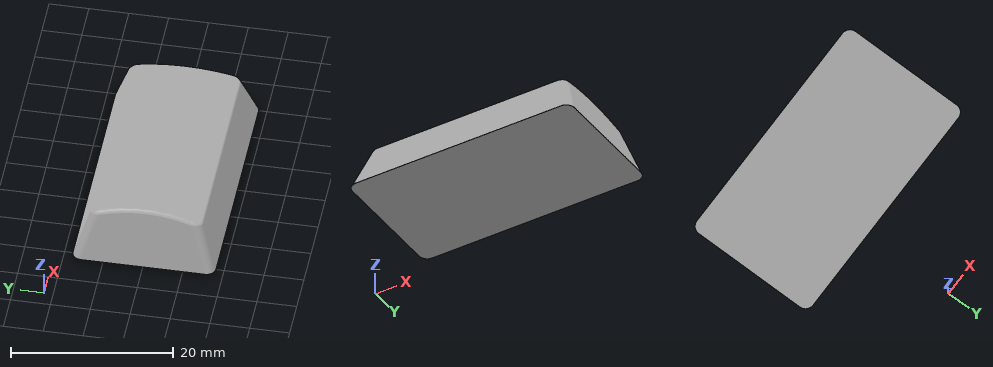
import cadquery as cq

length = 32.3
width = 18.0
height = 7.2
wall_draft = 18.0
corner_radius = 1.3
crown_radius = 21.95
rim_radius = 0.6


def tapered_body():
    """Rectangular block with leaning walls and rounded upright corners."""
    block = cq.Workplane("XY").rect(length, width).extrude(height, taper=wall_draft)
    upright_edges = block.edges("not(#Z)")
    return upright_edges.fillet(corner_radius)


def crown_cylinder():
    """Cylinder along X whose highest line is the top of the part."""
    axis_height = height - crown_radius
    return (
        cq.Workplane("YZ")
        .center(0, axis_height)
        .circle(crown_radius)
        .extrude(length / 2, both=True)
    )


crowned_body = tapered_body().intersect(crown_cylinder())
top_rim = crowned_body.faces(">Z").edges()
result = top_rim.fillet(rim_radius)